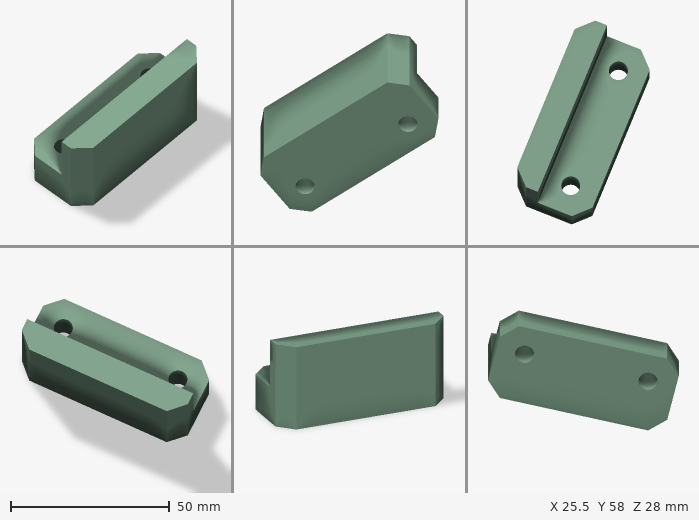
import cadquery as cq

width = 25.5
length = 58.0
height = 28.0

base_height = 12.0
wall_thickness = 9.0
corner_chamfer = 5.0

hole_diameter = 6.0
hole_edge_distance = 9.0
hole_spacing = 40.0


def angle_body():
    """L-shaped bar along Y with its four vertical corners cut off."""
    block = cq.Workplane("XY").box(width, length, height, centered=(False, True, False))
    block = block.edges("|Z").chamfer(corner_chamfer)
    step = (
        cq.Workplane("XY")
        .workplane(offset=base_height)
        .box(width - wall_thickness, length, height - base_height, centered=(False, True, False))
    )
    return block.cut(step)


def mounting_holes():
    """Two vertical cylinders, spaced evenly about the middle of the bar."""
    centers = [(hole_edge_distance, side * hole_spacing / 2) for side in (-1, 1)]
    return cq.Workplane("XY").pushPoints(centers).circle(hole_diameter / 2).extrude(base_height)


result = angle_body().cut(mounting_holes())